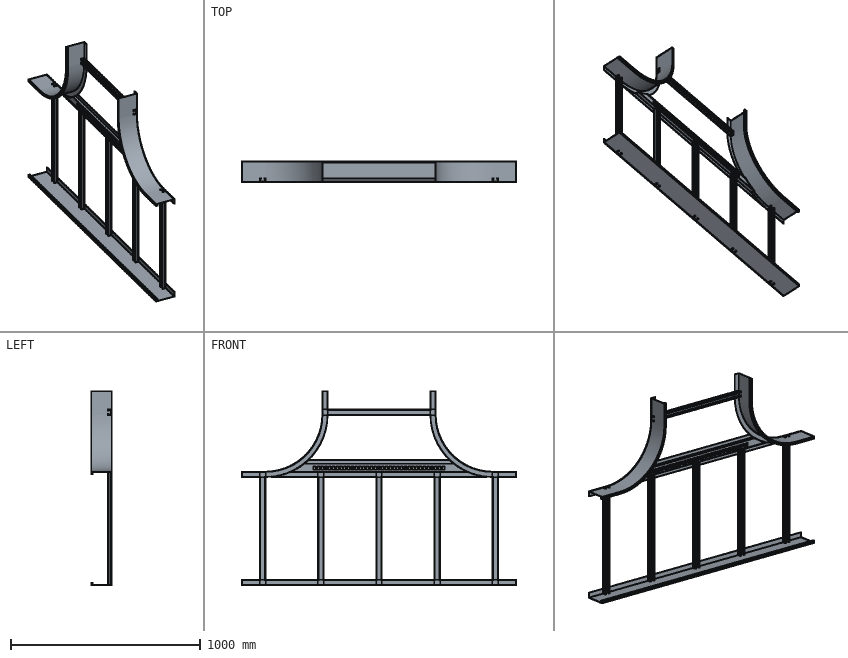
import cadquery as cq
import math


length = 1450.0
depth = 110.0
height = 1025.0
sheet = 2.2

flange_height = 29.0
lip_height = 13.0
lip_return = 9.0
bend_radius = 300.0
straight_length = 125.0
bend_x = length / 2 - straight_length
bend_z = height - straight_length
branch_x = bend_x - bend_radius
run_z = bend_z - bend_radius

rung_width = 30.0
rung_depth = 19.0
rung_sheet = 3.6
rung_lip = 7.0
rung_count = 5
rung_pitch = 307.0
branch_rung_z = 914.0

strip_top = 663.0
channel_top = 641.0
strip_depth = 20.0
strip_half_length = 565.0
hole_count = 35
hole_pitch = 20.0
hole_width = 10.0
hole_height = 16.0
hole_z = 619.0


def block(x0, x1, y0, y1, z0, z1):
    """Box given by its limits along each axis."""
    return cq.Workplane("XY").box(x1 - x0, y1 - y0, z1 - z0, centered=False).translate((x0, y0, z0))


def extrude_along_y(outline, y0, y1):
    """Extrude an outline drawn in the XZ plane from y0 to y1."""
    return outline.extrude(y0 - y1).translate((0, y0, 0))


def rail_section(fold):
    """Join the four folds of a rail.

    fold(y0, y1, d0, d1) makes one fold, with d0 and d1 measured from the outer web face.
    """
    web = fold(0, depth, 0, sheet)
    flange = fold(0, sheet, 0, flange_height)
    lip = fold(depth - sheet, depth, 0, lip_height)
    hem = fold(depth - lip_return, depth, lip_height - sheet, lip_height)
    return web.union(flange).union(lip).union(hem)


def make_bottom_rail():
    def fold(y0, y1, d0, d1):
        return block(-length / 2, length / 2, y0, y1, d0, d1)

    return rail_section(fold)


def make_left_curved_rail():
    diagonal = math.sqrt(0.5)

    def fold(y0, y1, d0, d1):
        r0 = bend_radius + d0
        r1 = bend_radius + d1
        outline = (
            cq.Workplane("XZ")
            .moveTo(-length / 2, bend_z - r0)
            .lineTo(-bend_x, bend_z - r0)
            .threePointArc((-bend_x + r0 * diagonal, bend_z - r0 * diagonal), (-bend_x + r0, bend_z))
            .lineTo(-bend_x + r0, height)
            .lineTo(-bend_x + r1, height)
            .lineTo(-bend_x + r1, bend_z)
            .threePointArc((-bend_x + r1 * diagonal, bend_z - r1 * diagonal), (-bend_x, bend_z - r1))
            .lineTo(-length / 2, bend_z - r1)
            .close()
        )
        return extrude_along_y(outline, y0, y1)

    return rail_section(fold)


def make_rung(rung_length):
    """Rung along Z from Z = 0, centred on X = 0, its front face against the rail flanges."""
    half = rung_width / 2
    front = sheet
    back = front + rung_depth
    outer = block(-half, half, front, back, 0, rung_length)
    hollow = block(
        rung_sheet - half, half - rung_sheet, front + rung_sheet, back - rung_sheet, 0, rung_length
    )
    mouth = block(rung_lip - half, half - rung_lip, back - rung_sheet, back, 0, rung_length)
    return outer.cut(hollow).cut(mouth)


def make_perforated_strip():
    half = strip_half_length
    flange_bottom = run_z - flange_height
    body = (
        block(-half, half, 0, sheet, flange_bottom, run_z)
        .union(block(-half, half, 0, strip_depth, run_z - sheet, run_z))
        .union(block(-half, half, strip_depth - sheet, strip_depth, run_z - sheet, channel_top + sheet))
        .union(block(-half, half, 0, strip_depth, channel_top, channel_top + sheet))
        .union(block(-half, half, 0, sheet, channel_top, strip_top))
    )

    for side in (-1, 1):
        bend = cq.Workplane("XZ").center(side * bend_x, bend_z).circle(bend_radius + flange_height)
        body = body.cut(extrude_along_y(bend, 0, strip_depth))

    holes = (
        cq.Workplane("XZ")
        .center(0, hole_z)
        .rarray(hole_pitch, 15, hole_count, 1)
        .rect(hole_width, hole_height)
    )
    return body.cut(extrude_along_y(holes, strip_depth - sheet, strip_depth))


bottom_rail = make_bottom_rail()

left_curved_rail = make_left_curved_rail()
right_curved_rail = left_curved_rail.mirror("YZ")

perforated_strip = make_perforated_strip()

run_rungs = []
for index in range(rung_count):
    rung_x = (index - (rung_count - 1) / 2) * rung_pitch
    rung = make_rung(run_z - 2 * sheet).translate((rung_x, 0, sheet))
    run_rungs.append(rung.val())

branch_rung_length = 2 * (branch_x - sheet)
branch_rung = (
    make_rung(branch_rung_length)
    .translate((0, 0, -branch_rung_length / 2))
    .rotate((0, 0, 0), (0, 1, 0), 90)
    .translate((0, 0, branch_rung_z))
)

result = cq.Compound.makeCompound(
    [
        bottom_rail.val(),
        left_curved_rail.val(),
        right_curved_rail.val(),
        perforated_strip.val(),
        *run_rungs,
        branch_rung.val(),
    ]
)